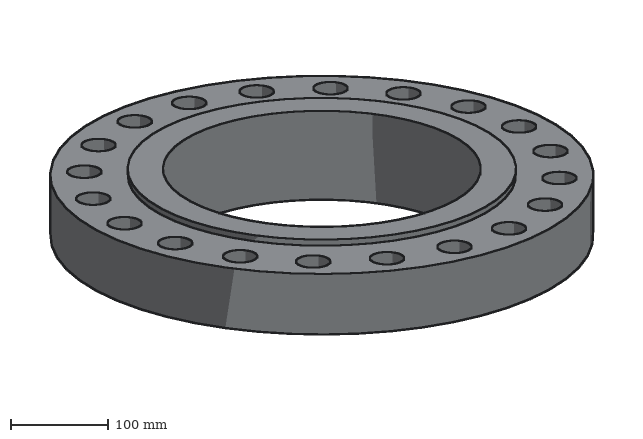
import cadquery as cq

flange_diameter = 559.0
total_height = 98.5
bore_diameter = 327.0

hub_diameter = 399.5
raised_face_height = 6.5
hub_height = 24.5
flange_thickness = total_height - raised_face_height - hub_height

bolt_count = 20
bolt_circle_diameter = 489.0
bolt_hole_diameter = 35.0
bolt_spacing_angle = 360 / bolt_count
first_bolt_angle = bolt_spacing_angle / 2


def disc(diameter, bottom, height):
    """Solid disc on the Z axis, rising from the given level."""
    return cq.Workplane("XY").workplane(offset=bottom).circle(diameter / 2).extrude(height)


def bolt_holes():
    """Ring of cutting cylinders running the full height."""
    return (
        cq.Workplane("XY")
        .polarArray(bolt_circle_diameter / 2, first_bolt_angle, 360, bolt_count)
        .circle(bolt_hole_diameter / 2)
        .extrude(total_height)
    )


hub = disc(hub_diameter, 0, total_height)
flange = disc(flange_diameter, hub_height, flange_thickness)
bore = disc(bore_diameter, 0, total_height)

result = hub.union(flange).cut(bore).cut(bolt_holes())